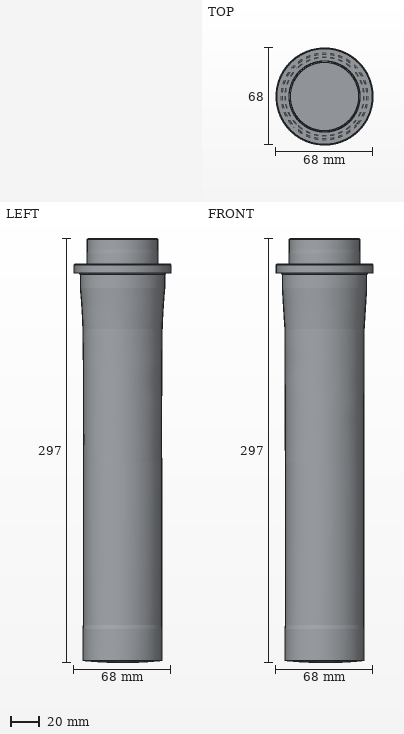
import cadquery as cq
import math

total_height = 297.0
flange_top = 279.0

plug_top_radius = 49.5 / 2
plug_base_radius = 50.0 / 2
plug_taper_bottom = 286.3
plug_taper_top = 289.0
plug_edge_chamfer = 1.0

foot_radius = 55.5 / 2
barrel_radius = 55.0 / 2
waist_radius = foot_radius
neck_radius = 59.0 / 2
flange_radius = 68.0 / 2

dome_height = 1.5
foot_top = 23.5
barrel_bottom = 26.0
barrel_top = 140.0
waist_bottom = 227.8
waist_top = 233.5
neck_bottom = 262.0
flange_bottom = 272.5

flange_edge_chamfer = 0.5
flange_root_chamfer = 1.0


def make_plug():
    """Solid round plug with a slight taper, standing on the flange."""
    profile = (
        cq.Workplane("XZ")
        .moveTo(0, flange_top)
        .lineTo(plug_base_radius, flange_top)
        .lineTo(plug_base_radius, plug_taper_bottom)
        .lineTo(plug_top_radius, plug_taper_top)
        .lineTo(plug_top_radius, total_height)
        .lineTo(0, total_height)
        .close()
    )
    plug = profile.revolve(360, (0, 0, 0), (0, 1, 0))
    return plug.faces(">Z").edges().chamfer(plug_edge_chamfer)


def make_housing():
    """Turned housing: domed foot, long barrel, flared neck and top flange."""
    dome_sphere_radius = (foot_radius**2 + dome_height**2) / (2 * dome_height)
    dome_mid_x = foot_radius / 2
    dome_mid_z = dome_sphere_radius - math.sqrt(dome_sphere_radius**2 - dome_mid_x**2)

    profile = (
        cq.Workplane("XZ")
        .moveTo(0, 0)
        .threePointArc((dome_mid_x, dome_mid_z), (foot_radius, dome_height))
        .lineTo(foot_radius, foot_top)
        .lineTo(barrel_radius, barrel_bottom)
        .lineTo(barrel_radius, barrel_top)
        .lineTo(waist_radius, waist_bottom)
        .lineTo(waist_radius, waist_top)
        .lineTo(neck_radius, neck_bottom)
        .lineTo(neck_radius, flange_bottom - flange_root_chamfer)
        .lineTo(neck_radius + flange_root_chamfer, flange_bottom)
        .lineTo(flange_radius, flange_bottom)
        .lineTo(flange_radius, flange_top - flange_edge_chamfer)
        .lineTo(flange_radius - flange_edge_chamfer, flange_top)
        .lineTo(0, flange_top)
        .close()
    )
    return profile.revolve(360, (0, 0, 0), (0, 1, 0))


plug = make_plug()
housing = make_housing()

result = cq.Compound.makeCompound([plug.val(), housing.val()])